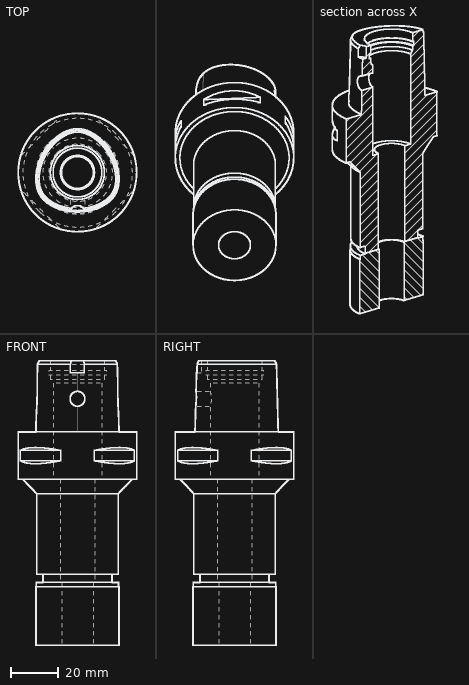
import cadquery as cq
import math

TOTAL_HEIGHT = 120.0
FLANGE_TOP = 90.0
FLANGE_BOTTOM = 70.0
CONE_BOTTOM = 64.0
NECK_TOP = 29.9
NUT_TOP = 26.5

FLANGE_RADIUS = 50.0 / 2
CONE_RADIUS = 23.0
SHANK_RADIUS = 17.3
NECK_RADIUS = 14.6

NUT_RADIUS = 17.5
COLLAR_RADIUS = 17.4
COLLAR_HEIGHT = 1.8
NUT_BORE_RADIUS = 6.7

BASE_MEAN_RADIUS = 35.2 / 2
TAPER_INSET = 0.7
LOBE_COUNT = 3
LOBE_HEIGHT = 0.9
SPLINE_SPANS = 24
BEVEL_INSET = 0.7
BEVEL_HEIGHT = 1.5

MOUTH_RADIUS = 11.4
GROOVE_RADIUS = 12.1
GROOVE_TOP_DEPTH = 4.1
GROOVE_BOTTOM_DEPTH = 6.0
SEAT_TOP_DEPTH = 7.9
SEAT_BOTTOM_DEPTH = 9.4
BORE_RADIUS = 10.3
THROUGH_RADIUS = 7.2

NOTCH_RADIUS = 3.2
NOTCH_CENTRE_Y = -17.2
NOTCH_DEPTH = 5.2
SIDE_HOLE_RADIUS = 3.1
SIDE_HOLE_DROP = 16.1

SLOT_COUNT = 4
SLOT_FLOOR_RADIUS = 22.0
SLOT_FLOOR_HEIGHT = 4.3
SLOT_MOUTH_HEIGHT = 6.8


def polygon_wire(mean_radius, z):
    """Constant-width three-lobed curve, one lobe pointing to +Y."""

    def point(angle):
        reach = mean_radius + LOBE_HEIGHT * math.cos(LOBE_COUNT * angle)
        slope = -LOBE_COUNT * LOBE_HEIGHT * math.sin(LOBE_COUNT * angle)
        along = reach * math.cos(angle) - slope * math.sin(angle)
        across = reach * math.sin(angle) + slope * math.cos(angle)
        return -across, along

    halves = []
    for start in (0, math.pi):
        step = math.pi / SPLINE_SPANS
        points = [cq.Vector(*point(start + step * index), z) for index in range(SPLINE_SPANS + 1)]
        halves.append(cq.Edge.makeSpline(points))
    return cq.Wire.assembleEdges(halves)


def make_polygon_taper():
    """Loft the tapered polygon and the bevel at its end."""
    rim_mean_radius = BASE_MEAN_RADIUS - TAPER_INSET
    bevel_bottom = TOTAL_HEIGHT - BEVEL_HEIGHT
    base = polygon_wire(BASE_MEAN_RADIUS, FLANGE_TOP)
    rim = polygon_wire(rim_mean_radius, bevel_bottom)
    end = polygon_wire(rim_mean_radius - BEVEL_INSET, TOTAL_HEIGHT)
    taper = cq.Workplane(cq.Solid.makeLoft([base, rim], True))
    bevel = cq.Workplane(cq.Solid.makeLoft([rim, end], True))
    return taper.union(bevel)


def revolve_about_z(profile):
    """Revolve a closed outline of (radius, height) points about the Z axis."""
    return cq.Workplane("XZ").polyline(profile).close().revolve(360, (0, 0), (0, 1))


def make_turned_body():
    return revolve_about_z([
        (0, FLANGE_TOP),
        (FLANGE_RADIUS, FLANGE_TOP),
        (FLANGE_RADIUS, FLANGE_BOTTOM),
        (CONE_RADIUS, FLANGE_BOTTOM),
        (SHANK_RADIUS, CONE_BOTTOM),
        (SHANK_RADIUS, NECK_TOP),
        (NECK_RADIUS, NECK_TOP),
        (NECK_RADIUS, NUT_TOP),
        (0, NUT_TOP),
    ])


def make_stepped_bore():
    return revolve_about_z([
        (0, TOTAL_HEIGHT),
        (MOUTH_RADIUS, TOTAL_HEIGHT),
        (MOUTH_RADIUS, TOTAL_HEIGHT - GROOVE_TOP_DEPTH),
        (GROOVE_RADIUS, TOTAL_HEIGHT - GROOVE_TOP_DEPTH),
        (GROOVE_RADIUS, TOTAL_HEIGHT - GROOVE_BOTTOM_DEPTH),
        (MOUTH_RADIUS, TOTAL_HEIGHT - GROOVE_BOTTOM_DEPTH),
        (MOUTH_RADIUS, TOTAL_HEIGHT - SEAT_TOP_DEPTH),
        (BORE_RADIUS, TOTAL_HEIGHT - SEAT_BOTTOM_DEPTH),
        (BORE_RADIUS, FLANGE_BOTTOM),
        (THROUGH_RADIUS, FLANGE_BOTTOM),
        (THROUGH_RADIUS, NUT_TOP),
        (0, NUT_TOP),
    ])


def make_key_notch():
    notch = cq.Workplane("XY", origin=(0, NOTCH_CENTRE_Y, TOTAL_HEIGHT))
    return notch.circle(NOTCH_RADIUS).extrude(-NOTCH_DEPTH)


def make_side_hole():
    """Radial hole from the -Y side into the bore."""
    hole = cq.Workplane("XZ", origin=(0, 0, TOTAL_HEIGHT - SIDE_HOLE_DROP))
    return hole.circle(SIDE_HOLE_RADIUS).extrude(FLANGE_RADIUS)


def make_gripper_slot():
    """Straight slot with a flat floor facing +X and walls that flare outward."""
    middle = (FLANGE_TOP + FLANGE_BOTTOM) / 2
    half_floor = SLOT_FLOOR_HEIGHT / 2
    half_mouth = SLOT_MOUTH_HEIGHT / 2
    profile = [
        (SLOT_FLOOR_RADIUS, middle - half_floor),
        (FLANGE_RADIUS, middle - half_mouth),
        (FLANGE_RADIUS, middle + half_mouth),
        (SLOT_FLOOR_RADIUS, middle + half_floor),
    ]
    return cq.Workplane("XZ").polyline(profile).close().extrude(FLANGE_RADIUS, both=True)


def make_holder():
    holder = make_turned_body().union(make_polygon_taper())
    holder = holder.cut(make_stepped_bore()).cut(make_key_notch()).cut(make_side_hole())
    pitch = 360 / SLOT_COUNT
    for index in range(SLOT_COUNT):
        angle = pitch * (index + 0.5)
        holder = holder.cut(make_gripper_slot().rotate((0, 0, 0), (0, 0, 1), angle))
    return holder


def make_nut():
    """Clamping nut whose top face meets the holder's neck."""
    collar_bottom = NUT_TOP - COLLAR_HEIGHT
    return revolve_about_z([
        (NUT_BORE_RADIUS, 0),
        (NUT_RADIUS, 0),
        (NUT_RADIUS, collar_bottom),
        (COLLAR_RADIUS, collar_bottom),
        (COLLAR_RADIUS, NUT_TOP),
        (NUT_BORE_RADIUS, NUT_TOP),
    ])


holder = make_holder()
nut = make_nut()
result = cq.Compound.makeCompound([holder.solids().val(), nut.val()])